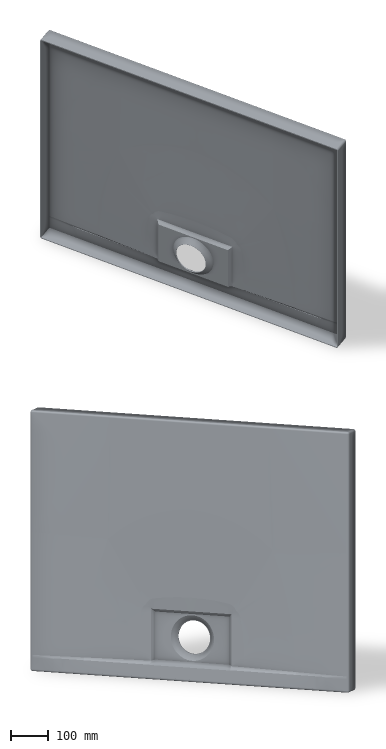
import cadquery as cq

WIDTH = 900.0
DEPTH = 48.0
HEIGHT = 700.0
WALL = 3.0
EDGE_RADIUS = 5.5
TOP_BORDER = EDGE_RADIUS + 1.0

INNER_X = WIDTH / 2 - WALL
INNER_Z = HEIGHT / 2 - WALL
FLOOR_Y = DEPTH / 2 - WALL

TOP_SEAM_X = -226.0
WALL_SEAM_Z = 24.0
CREST_Z = 113.0
CREST_SAG = 3.5
NODE_X = -232.0
NODE_Z = 19.0
NODE_SAG = 5.0
CREST_ARC_MIDDLE = (-125.0, 86.0)
FOOT_X = -299.0
FOOT_SAG = 4.5
FOOT_ARC_MIDDLE = (-274.0, -117.0)

STEP_TOP_Z = -302.0
STEP_TOP_FOOT_Z = -304.0
STEP_TOP_WALL_Z = -306.0
STEP_BOTTOM_Z = -313.0

WELL_HALF_WIDTH = 105.0
WELL_TOP_Z = -171.0
WELL_SLOPE = 8.5
WELL_FOOT_Z = -300.0
WELL_BASE_SAG = 13.0
WELL_SAG = 22.0
BLEND_SAG = 10.5
BLEND_TOP_Z = -125.0
BLEND_SHOULDER_Z = -134.0
BLEND_CORNER = (-128.0, -152.0)
BLEND_SIDE_X = -140.0
BLEND_FOOT_X = -151.0

DRAIN_Z = -235.5
DRAIN_RADIUS = 45.0
COLLAR_BASE_RADIUS = 61.0
COLLAR_TOP_RADIUS = 46.0
COLLAR_HEIGHT = 13.0

LEDGE_HALF_LENGTH = 384.0
LEDGE_TILTED_HALF_LENGTH = 358.0
LEDGE_TOP_Z = STEP_BOTTOM_Z + 2.0
LEDGE_SAG = 2.3


def point(x, z, sag=0.0):
    """Point on the floor underside, a given distance below the rim plane."""
    return cq.Vector(x, FLOOR_Y - sag, z)


def line(start, end):
    return cq.Edge.makeLine(start, end)


def arc(start, middle, end):
    return cq.Edge.makeThreePointArc(start, middle, end)


def tangent_arc(start, direction, end):
    return cq.Edge.makeTangentArc(start, cq.Vector(*direction), end)


def ruled(edge_a, edge_b):
    return cq.Face.makeRuledSurface(edge_a, edge_b)


def filled(edges):
    return cq.Face.makeNSidedSurface(edges, [])


def flat_face(points):
    return cq.Face.makeFromWires(cq.Wire.makePolygon(points, close=True))


def mirrored_solid(left_faces):
    """Solid bounded by the given faces and their mirror images across X = 0."""
    right_faces = [face.mirror("YZ") for face in left_faces]
    return cq.Solid.makeSolid(cq.Shell.makeShell(left_faces + right_faces)).fix()


def sagging_floor():
    """Solid between the rim plane and the sagging underside of the floor."""
    top_middle = point(0, INNER_Z)
    top_seam = point(TOP_SEAM_X, INNER_Z)
    top_corner = point(-INNER_X, INNER_Z)
    wall_seam = point(-INNER_X, WALL_SEAM_Z)
    wall_foot = point(-INNER_X, STEP_TOP_WALL_Z)

    crest = point(0, CREST_Z, CREST_SAG)
    node = point(NODE_X, NODE_Z, NODE_SAG)
    foot = point(FOOT_X, STEP_TOP_FOOT_Z, FOOT_SAG)
    crest_arc = arc(node, point(*CREST_ARC_MIDDLE, (NODE_SAG + CREST_SAG) / 2), crest)
    foot_arc = arc(node, point(*FOOT_ARC_MIDDLE, (NODE_SAG + FOOT_SAG) / 2), foot)

    outer_x = -WELL_HALF_WIDTH - WELL_SLOPE
    outer_z = WELL_TOP_Z + WELL_SLOPE
    base_middle = point(0, outer_z, WELL_BASE_SAG)
    base_shoulder = point(-WELL_HALF_WIDTH, outer_z, WELL_BASE_SAG)
    base_corner = point(outer_x, outer_z, WELL_BASE_SAG)
    base_side = point(outer_x, WELL_TOP_Z, WELL_BASE_SAG)
    base_foot = point(outer_x, STEP_TOP_Z, WELL_BASE_SAG)
    well_middle = point(0, WELL_TOP_Z, WELL_SAG)
    well_corner = point(-WELL_HALF_WIDTH, WELL_TOP_Z, WELL_SAG)
    well_foot = point(-WELL_HALF_WIDTH, WELL_FOOT_Z, WELL_SAG)
    well_foot_middle = point(0, WELL_FOOT_Z, WELL_SAG)

    blend_top = point(0, BLEND_TOP_Z, BLEND_SAG)
    blend_shoulder = point(-WELL_HALF_WIDTH, BLEND_SHOULDER_Z, BLEND_SAG)
    blend_corner = point(*BLEND_CORNER, BLEND_SAG)
    blend_side = point(BLEND_SIDE_X, WELL_TOP_Z, BLEND_SAG)
    blend_foot = point(BLEND_FOOT_X, STEP_TOP_Z, BLEND_SAG)
    top_curve = tangent_arc(blend_top, (-1, 0, 0), blend_shoulder)
    corner_curve = tangent_arc(blend_shoulder, top_curve.tangentAt(1).toTuple(), blend_corner)
    side_curve = tangent_arc(blend_foot, (0, 0, 1), blend_side)
    turn_curve = tangent_arc(blend_side, side_curve.tangentAt(1).toTuple(), blend_corner)

    floor_faces = [
        ruled(line(top_corner, top_seam), line(wall_seam, node)),
        ruled(line(top_seam, top_middle), crest_arc),
        ruled(line(wall_seam, wall_foot), foot_arc),
        filled([crest_arc, line(crest, blend_top), top_curve, corner_curve, line(blend_corner, node)]),
        filled([foot_arc, line(foot, blend_foot), side_curve, turn_curve, line(blend_corner, node)]),
    ]
    blend_faces = [
        ruled(top_curve, line(base_middle, base_shoulder)),
        ruled(corner_curve, line(base_shoulder, base_corner)),
        ruled(turn_curve, line(base_side, base_corner)),
        ruled(side_curve, line(base_foot, base_side)),
    ]
    well_faces = [
        flat_face([base_middle, base_shoulder, well_corner, well_middle]),
        flat_face([base_shoulder, base_corner, well_corner]),
        flat_face([base_corner, base_side, well_corner]),
        ruled(line(base_side, base_foot), line(well_corner, well_foot)),
        flat_face([well_middle, well_corner, well_foot, well_foot_middle]),
    ]

    step_top = [wall_foot, foot, blend_foot, base_foot, well_foot, well_foot_middle]
    step_bottom = [point(corner.x, STEP_BOTTOM_Z) for corner in step_top]
    step_faces = [
        ruled(line(step_top[i], step_top[i + 1]), line(step_bottom[i], step_bottom[i + 1]))
        for i in range(len(step_top) - 1)
    ]

    rim = [top_middle, top_seam, top_corner, wall_seam, wall_foot] + step_bottom
    return mirrored_solid(floor_faces + blend_faces + well_faces + step_faces + [flat_face(rim)])


def tilted_ledge():
    """Shallow wedge below the step, fading out toward both ends."""
    heel_middle = point(0, -INNER_Z)
    heel = point(-LEDGE_TILTED_HALF_LENGTH, -INNER_Z)
    heel_end = point(-LEDGE_HALF_LENGTH, -INNER_Z)
    crest_middle = point(0, LEDGE_TOP_Z, LEDGE_SAG)
    crest = point(-LEDGE_TILTED_HALF_LENGTH, LEDGE_TOP_Z, LEDGE_SAG)
    crest_end = point(-LEDGE_HALF_LENGTH, LEDGE_TOP_Z)
    root_middle = point(0, LEDGE_TOP_Z)
    return mirrored_solid([
        flat_face([heel_middle, heel, crest, crest_middle]),
        ruled(line(heel, crest), line(heel_end, crest_end)),
        flat_face([crest_middle, crest, crest_end, root_middle]),
        flat_face([heel_middle, heel, heel_end, crest_end, root_middle]),
    ])


def rounded_block():
    """Outside of the tray, rounded along its corners and its top edges."""
    block = cq.Workplane("XY").box(WIDTH, DEPTH, HEIGHT)
    return block.edges("|Y or >Y").fillet(EDGE_RADIUS)


def level_cavity():
    """Space between the walls, up to a level floor."""
    cavity = cq.Workplane("XY").box(2 * INNER_X, DEPTH, 2 * INNER_Z)
    return cavity.translate((0, -WALL, 0))


def top_recess(relief):
    """The floor relief one wall thickness higher, kept inside the level top border."""
    inside_border = cq.Workplane("XY").box(WIDTH - 2 * TOP_BORDER, 2 * DEPTH, HEIGHT - 2 * TOP_BORDER)
    return relief.translate((0, WALL, 0)).intersect(inside_border)


def drain_circle(radius):
    """Circle around the drain axis on the face of the well."""
    well_face = cq.Workplane("XZ", origin=(0, FLOOR_Y - WELL_SAG, DRAIN_Z))
    return well_face.circle(radius)


def drain_collar():
    base = drain_circle(COLLAR_BASE_RADIUS)
    return base.workplane(offset=COLLAR_HEIGHT).circle(COLLAR_TOP_RADIUS).loft()


def drain_hole():
    return drain_circle(DRAIN_RADIUS).extrude(DEPTH, both=True)


floor_relief = (
    cq.Workplane(sagging_floor())
    .union(cq.Workplane(tilted_ledge()))
    .union(drain_collar())
)
underside_cavity = level_cavity().cut(floor_relief)
tray = rounded_block().cut(top_recess(floor_relief)).cut(underside_cavity).cut(drain_hole())
result = cq.Workplane(tray.solids().val())